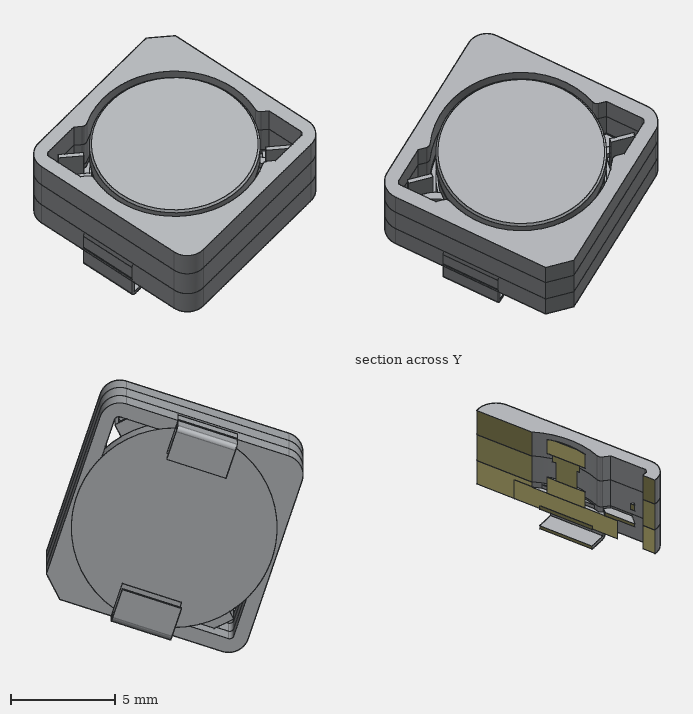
import cadquery as cq
import math

SIDE = 10.2
CORNER = 1.0
RING_HEIGHTS = (1.44, 1.56, 1.44)
HOUSING_HEIGHT = sum(RING_HEIGHTS)

BORE_RADIUS = 4.4
POCKET_WIDTH = 3.01
POCKET_CORNER_RADIUS = 0.2
POCKET_MOUTH_RADIUS = 0.25
MARGIN = 0.1

SHEET = 0.2
BEND_RADIUS = 0.25
TERMINAL_WIDTH = 3.0
FOOT_BOTTOM = -1.21
FOOT_LENGTH = 1.7
PLATE_BOTTOM = -0.04
SHELF_LENGTH = 0.97
ARM_LENGTH = 3.37
ARM_INNER_REACH = 4.37
ARM_OUTER_REACH = 5.58
LIP_TOP = 3.84

BASE_RADIUS = 4.94
BASE_HEIGHT = 1.12
SHELF_TOP = BASE_HEIGHT + SHEET

FLANGE_DIAMETER = 8.2
POST_DIAMETER = 5.0
FLANGE_THICKNESS = 0.96
CORE_CHAMFER = 0.1

WINDING_RADIUS = 4.0
TOP_TURN_RADIUS = 4.03
WIRE = 0.37
LIP_FACE = WIRE / 2
LEAD_BEND_RADIUS = 1.53
LEAD_BEND_START = 4.73
LEAD_BEND_ANGLE = 40.0
WINDING_BOTTOM = BASE_HEIGHT + FLANGE_THICKNESS
WINDING_TOP = HOUSING_HEIGHT - FLANGE_THICKNESS

DIAGONAL = 45.0


def cylinder(radius, bottom, top):
    return cq.Workplane("XY").workplane(offset=bottom).circle(radius).extrude(top - bottom)


def block(x_range, y_range, z_range):
    """Box between the given limits."""
    size = [high - low for low, high in (x_range, y_range, z_range)]
    corner = (x_range[0], y_range[0], z_range[0])
    return cq.Workplane("XY").box(*size, centered=False).translate(corner)


def on_diagonal(shape):
    """Turn a shape drawn along +X onto the diagonal towards the (+X, +Y) corner."""
    return shape.rotate((0, 0, 0), (0, 0, 1), DIAGONAL)


def half_turn(shape):
    return shape.rotate((0, 0, 0), (0, 0, 1), 180)


def make_opening(height):
    """Bore with two corner pockets, each a square corner trimmed to a diagonal strip."""
    square = cq.Workplane("XY").rect(2 * BORE_RADIUS, 2 * BORE_RADIUS).extrude(height)
    square = square.edges("|Z").fillet(POCKET_CORNER_RADIUS)
    strip = on_diagonal(cq.Workplane("XY").rect(2 * SIDE, POCKET_WIDTH).extrude(height))
    opening = cylinder(BORE_RADIUS, 0, height).union(square.intersect(strip))
    mouth_reach = math.sqrt(BORE_RADIUS**2 - (POCKET_WIDTH / 2) ** 2)
    for along in (-mouth_reach, mouth_reach):
        for across in (-POCKET_WIDTH / 2, POCKET_WIDTH / 2):
            x = (along - across) / math.sqrt(2)
            y = (along + across) / math.sqrt(2)
            low_corner = (x - MARGIN, y - MARGIN, 0)
            high_corner = (x + MARGIN, y + MARGIN, height)
            near = cq.selectors.BoxSelector(low_corner, high_corner)
            opening = opening.edges("|Z").edges(near).fillet(POCKET_MOUTH_RADIUS)
    return opening


def make_terminal():
    """Terminal on the +Y side: a clip around the base, a leg with a foot, and an arm with a lip."""
    half_width = TERMINAL_WIDTH / 2
    outer = SIDE / 2
    across = (-half_width, half_width)

    clip = block(across, (outer - SHEET, outer), (PLATE_BOTTOM, SHELF_TOP))
    clip = clip.union(block(across, (outer - SHELF_LENGTH, outer), (BASE_HEIGHT, SHELF_TOP)))
    clip = clip.union(block(across, (outer - FOOT_LENGTH, outer), (PLATE_BOTTOM, PLATE_BOTTOM + SHEET)))
    clip = clip.edges("|X and >Y").fillet(BEND_RADIUS)

    leg = block(across, (outer - SHEET, outer), (FOOT_BOTTOM, 0))
    leg = leg.union(block(across, (outer - FOOT_LENGTH, outer), (FOOT_BOTTOM, FOOT_BOTTOM + SHEET)))
    leg = leg.edges("|X and >Y and <Z").fillet(BEND_RADIUS)

    reach = (ARM_INNER_REACH, ARM_OUTER_REACH)
    arm = block(reach, (-LIP_FACE - SHEET, ARM_LENGTH), (BASE_HEIGHT, SHELF_TOP))
    lip = block(reach, (-LIP_FACE - SHEET, -LIP_FACE), (BASE_HEIGHT, LIP_TOP))
    inside = block((-half_width, outer), (0, outer - SHEET), (BASE_HEIGHT, LIP_TOP))
    tab = on_diagonal(arm.union(lip)).intersect(inside)
    return clip.union(leg).union(tab)


def make_base(terminals):
    """Round plate, cut out where the terminals clip around it."""
    base = cylinder(BASE_RADIUS, 0, BASE_HEIGHT)
    for terminal in terminals:
        base = base.cut(terminal)
    return base


def make_ring(bottom, height, opening, neighbours):
    """Square ring, chamfered at the (-X, +Y) corner, with recesses fitting the base and terminals."""
    ring = cq.Workplane("XY").workplane(offset=bottom).rect(SIDE, SIDE).extrude(height)
    ring = ring.edges("|Z").edges("<X and >Y").chamfer(CORNER)
    ring = ring.edges("|Z").edges(">X or <Y").edges("not(<X and >Y)").fillet(CORNER)
    ring = ring.cut(opening)
    for neighbour in neighbours:
        ring = ring.cut(neighbour)
    return ring


def make_core():
    """Two flanges joined by a post; the upper rim is chamfered."""
    core = cylinder(FLANGE_DIAMETER / 2, BASE_HEIGHT, WINDING_BOTTOM)
    core = core.union(cylinder(POST_DIAMETER / 2, WINDING_BOTTOM, WINDING_TOP))
    top_flange = cylinder(FLANGE_DIAMETER / 2, WINDING_TOP, HOUSING_HEIGHT)
    return core.union(top_flange.faces(">Z").chamfer(CORE_CHAMFER))


def make_winding():
    """Coil around the post, its top turn slightly wider than the rest."""
    coil = cylinder(WINDING_RADIUS, WINDING_BOTTOM, WINDING_TOP)
    coil = coil.union(cylinder(TOP_TURN_RADIUS, WINDING_TOP - WIRE, WINDING_TOP))
    return coil.cut(cylinder(POST_DIAMETER / 2, WINDING_BOTTOM, WINDING_TOP))


def make_leads(winding):
    """A straight lead in the (-X, -Y) pocket and one bent towards the coil in the (+X, +Y) pocket."""
    straight = block((WINDING_RADIUS - WIRE, ARM_OUTER_REACH), (-LIP_FACE, LIP_FACE),
                     (WINDING_BOTTOM, WINDING_BOTTOM + WIRE))
    lead_height = WINDING_BOTTOM + WIRE / 2
    angle = math.radians(LEAD_BEND_ANGLE)
    bend_end = (LEAD_BEND_START - LEAD_BEND_RADIUS * math.sin(angle),
                LEAD_BEND_RADIUS * (1 - math.cos(angle)))
    bend_middle = (LEAD_BEND_START - LEAD_BEND_RADIUS * math.sin(angle / 2),
                   LEAD_BEND_RADIUS * (1 - math.cos(angle / 2)))
    path = (cq.Workplane("XY").workplane(offset=lead_height)
            .moveTo(ARM_OUTER_REACH, 0).lineTo(LEAD_BEND_START, 0)
            .threePointArc(bend_middle, bend_end))
    start = cq.Plane(origin=(ARM_OUTER_REACH, 0, lead_height),
                     xDir=(0, 1, 0), normal=(-1, 0, 0))
    curved = cq.Workplane(start).rect(WIRE, WIRE).sweep(path)
    return [half_turn(on_diagonal(straight)).cut(winding), on_diagonal(curved).cut(winding)]


opening = make_opening(HOUSING_HEIGHT)
terminals = [make_terminal(), half_turn(make_terminal())]
base = make_base(terminals)
core = make_core()
winding = make_winding()
leads = make_leads(winding)

rings = []
ring_bottom = 0.0
for ring_height in RING_HEIGHTS:
    rings.append(make_ring(ring_bottom, ring_height, opening, [base, *terminals]))
    ring_bottom += ring_height

result = cq.Compound.makeCompound([
    *[ring.val() for ring in rings],
    base.val(),
    *[terminal.val() for terminal in terminals],
    core.val(),
    winding.val(),
    *[lead.val() for lead in leads],
])